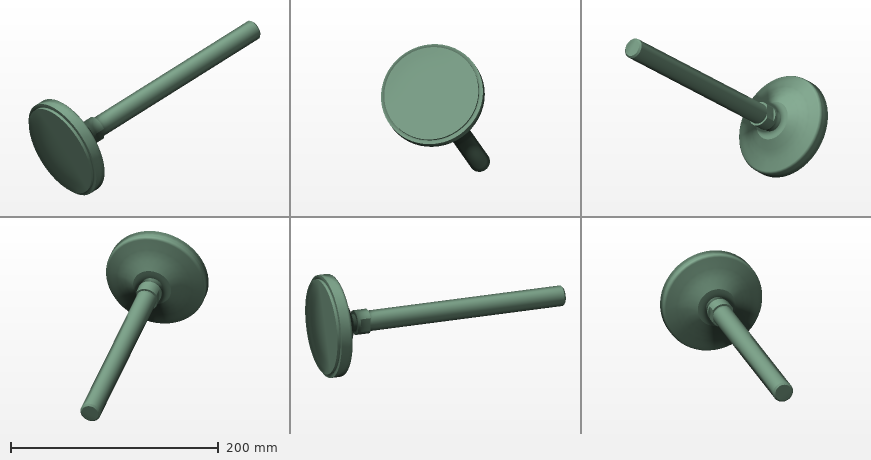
import cadquery as cq
import math

total_length = 247.0
foot_diameter = 100.0

pad_diameter = 92.5
pad_height = 3.0
rim_height = 12.0
shoulder_radius = 3.0
shoulder_slope = 11.0
dome_top_radius = 19.0
dome_top_height = 26.2

neck_diameter = 17.0
neck_base_diameter = 21.7
neck_cone_height = 4.5
neck_cylinder_height = 3.0

collar_diameter = 24.0
collar_length = 13.3
collar_flange = 3.0
wrench_size = 20.0

stem_diameter = 20.0
stem_chamfer = 1.7

foot_radius = foot_diameter / 2
neck_start = dome_top_height + neck_cone_height
collar_start = neck_start + neck_cylinder_height
collar_end = collar_start + collar_length


def make_turned_body():
    """Revolve the half outline of foot, neck, collar and stem about the Y axis."""
    shoulder_center = foot_radius - shoulder_radius

    def shoulder_point(angle):
        """Point on the shoulder round, at an angle in degrees from the Y axis."""
        turn = math.radians(angle)
        return (
            shoulder_center + shoulder_radius * math.sin(turn),
            rim_height + shoulder_radius * math.cos(turn),
        )

    shoulder_mid_angle = (90 + shoulder_slope) / 2
    stem_radius = stem_diameter / 2
    outline = (
        cq.Workplane("XY")
        .moveTo(0, 0)
        .lineTo(pad_diameter / 2, 0)
        .lineTo(pad_diameter / 2, pad_height)
        .lineTo(foot_radius, pad_height)
        .lineTo(foot_radius, rim_height)
        .threePointArc(shoulder_point(shoulder_mid_angle), shoulder_point(shoulder_slope))
        .tangentArcPoint((dome_top_radius, dome_top_height), relative=False)
        .lineTo(neck_base_diameter / 2, dome_top_height)
        .lineTo(neck_diameter / 2, neck_start)
        .lineTo(neck_diameter / 2, collar_start)
        .lineTo(collar_diameter / 2, collar_start)
        .lineTo(collar_diameter / 2, collar_end)
        .lineTo(stem_radius, collar_end)
        .lineTo(stem_radius, total_length - stem_chamfer)
        .lineTo(stem_radius - stem_chamfer, total_length)
        .lineTo(0, total_length)
        .close()
    )
    return outline.revolve(360, (0, 0), (0, 1))


def cut_wrench_flats(body):
    """Cut two flats facing -X and +X, leaving a flange at the foot end of the collar."""
    flat_length = collar_length - collar_flange
    flat_middle = collar_end - flat_length / 2
    for side in (-1, 1):
        cutter = cq.Workplane("XY").box(collar_diameter, flat_length, collar_diameter)
        cutter_x = side * (wrench_size + collar_diameter) / 2
        body = body.cut(cutter.translate((cutter_x, flat_middle, 0)))
    return body


result = cut_wrench_flats(make_turned_body())